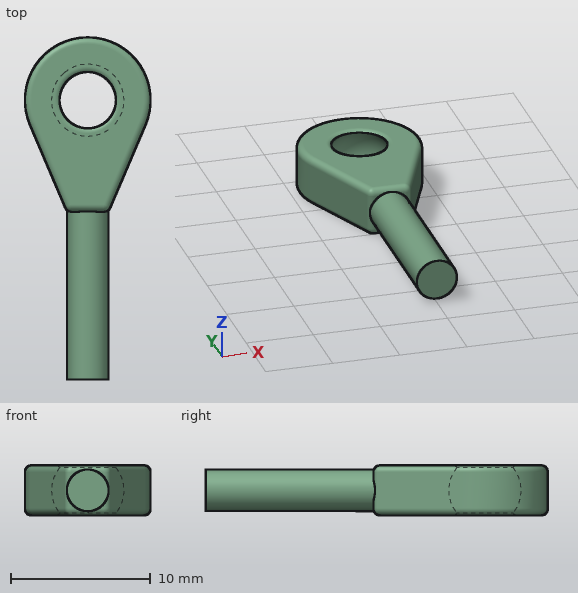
import cadquery as cq
import math

overall_length = 24.5
thickness = 3.6
eye_radius = 4.5
shank_diameter = 3.0
shank_length = 12.0
edge_radius = 0.5
mouth_radius = 2.38
throat_radius = 2.0
lip_radius = 0.5
shank_overlap = 0.98

half_length = overall_length / 2
half_thickness = thickness / 2
end_half_width = shank_diameter / 2
eye_y = half_length - eye_radius
head_end_y = shank_length - half_length


def make_head():
    """Teardrop plate whose straight sides are tangent to the eye circle."""
    drop = eye_y - head_end_y
    corner_distance = math.hypot(end_half_width, drop)
    corner_angle = math.atan2(-drop, end_half_width)
    tangent_angle = corner_angle + math.acos(eye_radius / corner_distance)
    tangent_x = eye_radius * math.cos(tangent_angle)
    tangent_y = eye_y + eye_radius * math.sin(tangent_angle)
    plate = (
        cq.Workplane("XY")
        .workplane(offset=-half_thickness)
        .moveTo(-end_half_width, head_end_y)
        .lineTo(end_half_width, head_end_y)
        .lineTo(tangent_x, tangent_y)
        .threePointArc((0, half_length), (-tangent_x, tangent_y))
        .close()
        .extrude(thickness)
    )
    end_corners = plate.faces("<Y").edges("|Z")
    return end_corners.add(plate.faces("|Z").edges()).fillet(edge_radius)


def make_bore():
    """Spherical seat meeting the rounded lip of each mouth at a sharp throat edge."""
    lip_center_z = half_thickness - lip_radius
    throat_angle = math.acos((mouth_radius - throat_radius) / lip_radius)
    throat_z = lip_center_z + lip_radius * math.sin(throat_angle)
    seat_radius = math.hypot(throat_radius, throat_z)

    mid_angle = (throat_angle + math.pi / 2) / 2
    mid_r = mouth_radius - lip_radius * math.cos(mid_angle)
    mid_z = lip_center_z + lip_radius * math.sin(mid_angle)

    profile = (
        cq.Workplane("XZ", origin=(0, eye_y, 0))
        .moveTo(0, -half_thickness)
        .lineTo(mouth_radius, -half_thickness)
        .threePointArc((mid_r, -mid_z), (throat_radius, -throat_z))
        .threePointArc((seat_radius, 0), (throat_radius, throat_z))
        .threePointArc((mid_r, mid_z), (mouth_radius, half_thickness))
        .lineTo(0, half_thickness)
        .close()
    )
    return profile.revolve(360, (0, 0, 0), (0, 1, 0))


def make_shank():
    """Round pin along Y, running from the free end into the head."""
    return (
        cq.Workplane("XZ", origin=(0, -half_length, 0))
        .circle(shank_diameter / 2)
        .extrude(-(shank_length + shank_overlap))
    )


result = make_head().union(make_shank()).cut(make_bore())